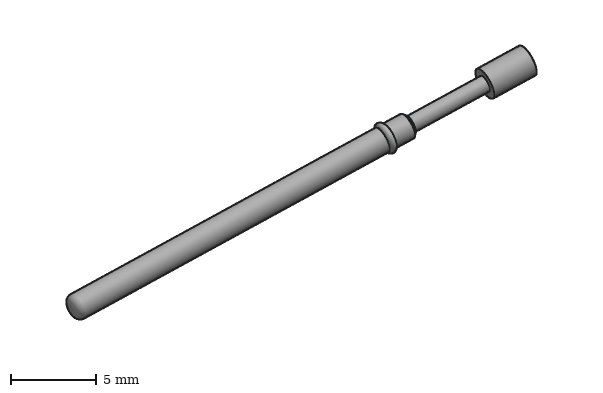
import cadquery as cq

total_length = 32.3
head_diameter = 2.0
head_length = 3.0
plunger_diameter = 1.05
plunger_length = 5.3
barrel_diameter = 1.65
mouth_chamfer = 0.2
tail_radius = 0.45

ring_diameter = head_diameter
ring_section_radius = 0.25
ring_from_head_end = 10.05

head_end = total_length / 2
head_shoulder = head_end - head_length
barrel_mouth = head_shoulder - plunger_length
tail_end = -total_length / 2
ring_position = head_end - ring_from_head_end


def cylinder(diameter, start, end):
    """Solid cylinder on the Y axis between two Y positions."""
    return cq.Workplane("XZ", origin=(0, end, 0)).circle(diameter / 2).extrude(end - start)


def make_barrel():
    barrel = cylinder(barrel_diameter, tail_end, barrel_mouth)
    barrel = barrel.faces(">Y").chamfer(mouth_chamfer)
    return barrel.faces("<Y").edges().fillet(tail_radius)


def make_ring():
    section_center = ring_diameter / 2 - ring_section_radius
    section = cq.Workplane("XY").center(section_center, ring_position).circle(ring_section_radius)
    return section.revolve(360, (-section_center, 0), (-section_center, 1))


head = cylinder(head_diameter, head_shoulder, head_end)
plunger = cylinder(plunger_diameter, barrel_mouth, head_shoulder)

result = make_barrel().union(make_ring()).union(plunger).union(head)